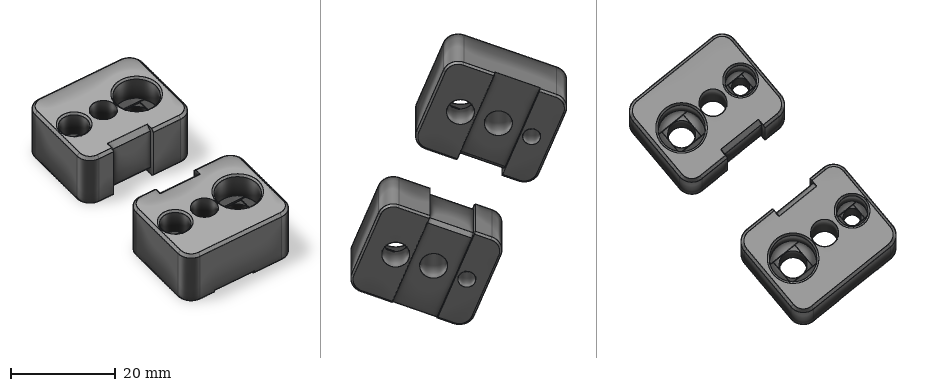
import cadquery as cq

overall_length = 53.1
block_length = 20.0
block_width = 25.0
block_height = 12.2
block_shift_y = 0.3
corner_radius = 3.0
top_chamfer = 0.6
bottom_chamfer = 0.4

large_bore_y = 6.25
plain_hole_y = -1.5
small_bore_y = -8.3

large_bore_diameter = 9.0
large_hole_diameter = 5.3
large_slot_width = 5.4
plain_hole_diameter = 5.3
small_bore_diameter = 6.0
small_hole_diameter = 3.4
small_slot_width = 3.5

bore_depth = 5.4
rim_chamfer = 0.4
step_depth = 0.2

notch_width = 9.25
notch_depth = 1.0
notch_top_chamfer = 1.0
notch_bottom_chamfer = 0.8
channel_depth = 0.8


def block_body():
    """Rounded block standing on Z = 0, centred in X and Y."""
    body = cq.Workplane("XY").box(block_length, block_width, block_height, centered=(True, True, False))
    body = body.edges("|Z").fillet(corner_radius)
    body = body.faces(">Z").edges().chamfer(top_chamfer)
    return body.faces("<Z").edges().chamfer(bottom_chamfer)


def cylinder(y, bottom, diameter, height):
    """Upright cylinder on the X centre line, used as a cutter."""
    return cq.Workplane("XY", origin=(0, y, bottom)).circle(diameter / 2).extrude(height)


def stepped_bore(y, bore_diameter, slot_width, hole_diameter):
    """Cutter for a chamfered bore whose floor steps down through a slot and a rectangle to a hole."""
    floor = block_height - bore_depth
    slot_floor = floor - step_depth
    rectangle_floor = slot_floor - step_depth

    bore = cylinder(y, floor, bore_diameter, bore_depth)
    rim = (
        cq.Workplane("XY", origin=(0, y, block_height))
        .circle(bore_diameter / 2 + rim_chamfer)
        .extrude(-rim_chamfer, taper=45)
    )
    slot_bar = (
        cq.Workplane("XY", origin=(0, y, slot_floor))
        .rect(slot_width, bore_diameter)
        .extrude(step_depth)
    )
    slot = cylinder(y, slot_floor, bore_diameter, step_depth).intersect(slot_bar)
    rectangle = (
        cq.Workplane("XY", origin=(0, y, rectangle_floor))
        .rect(slot_width, hole_diameter)
        .extrude(step_depth)
    )
    hole = cylinder(y, 0, hole_diameter, floor)
    return bore.union(rim).union(slot).union(rectangle).union(hole)


def notch():
    """Cutter for the notch in the +X side, with chamfers above and below its back wall."""
    side = block_length / 2
    back = side - notch_depth
    profile = [
        (side, channel_depth),
        (back - notch_bottom_chamfer, channel_depth),
        (back, channel_depth + notch_bottom_chamfer),
        (back, block_height - notch_top_chamfer),
        (back - notch_top_chamfer, block_height),
        (side, block_height),
    ]
    return (
        cq.Workplane("XZ", origin=(0, plain_hole_y, 0))
        .polyline(profile)
        .close()
        .extrude(notch_width / 2, both=True)
    )


def channel():
    """Cutter for the shallow channel that crosses the underside along X."""
    return (
        cq.Workplane("XY", origin=(0, plain_hole_y, 0))
        .rect(block_length, notch_width)
        .extrude(channel_depth)
    )


def block():
    """Complete block with its notch facing +X."""
    return (
        block_body()
        .cut(stepped_bore(large_bore_y, large_bore_diameter, large_slot_width, large_hole_diameter))
        .cut(cylinder(plain_hole_y, 0, plain_hole_diameter, block_height))
        .cut(stepped_bore(small_bore_y, small_bore_diameter, small_slot_width, small_hole_diameter))
        .cut(notch())
        .cut(channel())
    )


block_offset_x = (overall_length - block_length) / 2
left_block = block().translate((-block_offset_x, 0, 0))
right_block = block().mirror("YZ").translate((block_offset_x, block_shift_y, 0))

result = cq.Compound.makeCompound([left_block.solids().val(), right_block.solids().val()])